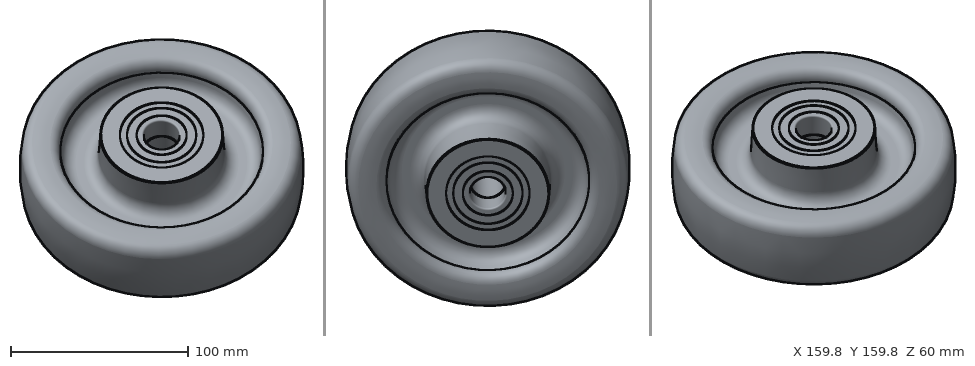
import cadquery as cq
import math

WHEEL_RADIUS = 79.9
HUB_WIDTH = 60.0

TREAD_WIDTH = 45.0
TREAD_INNER_RADIUS = 57.0
CROWN_DROP = 2.0
SIDE_DOME_DROP = 1.6
OUTER_SHOULDER_FILLET = 7.0
INNER_SHOULDER_FILLET = 6.4

RIM_WIDTH = 29.4
RIM_OUTER_RADIUS = 63.9
WEB_THICKNESS = 9.9
WEB_FILLET = 8.0
HUB_DRAFT = math.radians(3.0)
RIM_DRAFT = math.radians(15.0)
HUB_TOP_RADIUS = 34.5
HUB_CHAMFER = 0.5

BEARING_RADIUS = 23.5
BEARING_BORE_RADIUS = 10.0
BEARING_WIDTH = 14.0
BEARING_FILLET = 1.0
SHIELD_OUTER_RADIUS = 19.5
SHIELD_INNER_RADIUS = 14.0
SHIELD_RECESS = 0.5

SPACER_OUTER_RADIUS = SHIELD_INNER_RADIUS

BEARING_SPACING = HUB_WIDTH - 2 * BEARING_WIDTH
BEARING_BOTTOMS = (-HUB_WIDTH / 2, BEARING_SPACING / 2)


def ring(outer_radius, inner_radius, height, bottom):
    """Plain ring around the Z axis."""
    return (
        cq.Workplane("XY")
        .workplane(offset=bottom)
        .circle(outer_radius)
        .circle(inner_radius)
        .extrude(height)
    )


def revolve_about_z(profile):
    """Turn a closed XZ profile (X is the radius) once around the Z axis."""
    return profile.revolve(360, (0, 0, 0), (0, 1, 0))


def make_tread():
    """Tyre with a crowned face and domed sides, seated around the rim of the core."""
    dome_top = TREAD_WIDTH / 2
    corner_height = dome_top - SIDE_DOME_DROP
    corner_radius = WHEEL_RADIUS - CROWN_DROP
    dome_radius = (TREAD_INNER_RADIUS + corner_radius) / 2
    profile = (
        cq.Workplane("XZ")
        .moveTo(TREAD_INNER_RADIUS, -corner_height)
        .threePointArc((dome_radius, -dome_top), (corner_radius, -corner_height))
        .threePointArc((WHEEL_RADIUS, 0), (corner_radius, corner_height))
        .threePointArc((dome_radius, dome_top), (TREAD_INNER_RADIUS, corner_height))
    )
    outline = profile.close().val()
    outer_corners = [corner for corner in outline.Vertices() if corner.X > dome_radius]
    outline = outline.fillet2D(OUTER_SHOULDER_FILLET, outer_corners)
    inner_corners = [corner for corner in outline.Vertices() if corner.X < dome_radius]
    outline = outline.fillet2D(INNER_SHOULDER_FILLET, inner_corners)
    blank = revolve_about_z(cq.Workplane("XZ").add(outline).toPending())
    rim_seat = cq.Workplane("XY").circle(RIM_OUTER_RADIUS).extrude(RIM_WIDTH / 2, both=True)
    return blank.cut(rim_seat)


def cut_side_recess(core, side):
    """Drafted annular recess between hub and rim, down to the web; side is +1 or -1."""
    floor = WEB_THICKNESS / 2
    hub_base_radius = HUB_TOP_RADIUS + (HUB_WIDTH / 2 - floor) * math.tan(HUB_DRAFT)
    rim_base_radius = TREAD_INNER_RADIUS - (RIM_WIDTH / 2 - floor) * math.tan(RIM_DRAFT)
    top = HUB_WIDTH / 2
    rim_top = RIM_WIDTH / 2
    profile = (
        cq.Workplane("XZ")
        .moveTo(HUB_TOP_RADIUS, side * top)
        .lineTo(hub_base_radius, side * floor)
        .lineTo(rim_base_radius, side * floor)
        .lineTo(TREAD_INNER_RADIUS, side * rim_top)
        .lineTo(WHEEL_RADIUS, side * rim_top)
        .lineTo(WHEEL_RADIUS, side * top)
        .close()
    )
    recess = revolve_about_z(profile)
    floor_face = "<Z" if side > 0 else ">Z"
    return core.cut(recess.faces(floor_face).edges().fillet(WEB_FILLET))


def make_core():
    """Hub, web and rim in one piece, with a bearing seat at each end of the hub."""
    core = ring(RIM_OUTER_RADIUS, SPACER_OUTER_RADIUS, HUB_WIDTH, -HUB_WIDTH / 2)
    for side in (1, -1):
        core = cut_side_recess(core, side)
    hub_end_edges = core.faces("<Z or >Z").edges(cq.selectors.RadiusNthSelector(-1))
    core = hub_end_edges.chamfer(HUB_CHAMFER)
    for seat_bottom in BEARING_BOTTOMS:
        core = core.cut(ring(BEARING_RADIUS, BEARING_BORE_RADIUS, BEARING_WIDTH, seat_bottom))
    return core


def make_bearing(bottom):
    """Closed ball bearing as one solid, with a shallow shield recess on both faces."""
    bearing = ring(BEARING_RADIUS, BEARING_BORE_RADIUS, BEARING_WIDTH, bottom)
    bearing = bearing.edges("%CIRCLE").fillet(BEARING_FILLET)
    for recess_bottom in (bottom, bottom + BEARING_WIDTH - SHIELD_RECESS):
        bearing = bearing.cut(ring(SHIELD_OUTER_RADIUS, SHIELD_INNER_RADIUS, SHIELD_RECESS, recess_bottom))
    return bearing


def make_spacer():
    """Tube that keeps the two bearings apart."""
    return ring(SPACER_OUTER_RADIUS, BEARING_BORE_RADIUS, BEARING_SPACING, -BEARING_SPACING / 2)


tread = make_tread()
core = make_core()
bearings = [make_bearing(bottom) for bottom in BEARING_BOTTOMS]
spacer = make_spacer()

result = cq.Compound.makeCompound(
    [tread.val(), core.val(), *[bearing.val() for bearing in bearings], spacer.val()]
)